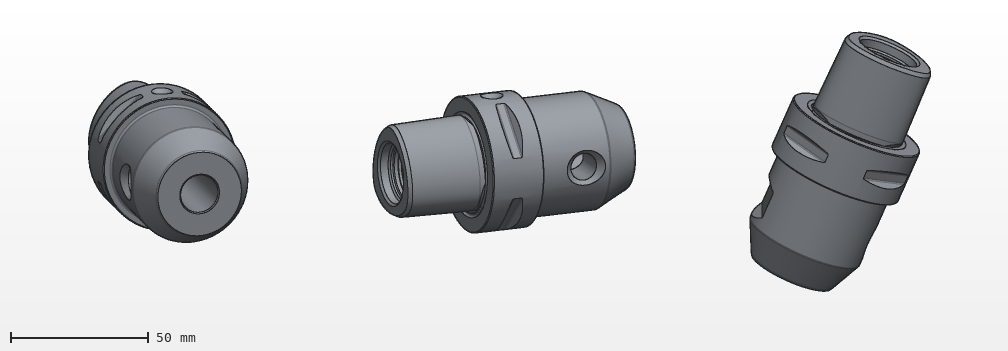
import cadquery as cq
import math

total_length = 90
shank_chamfer_length = 1.5
taper_end = 27.9
flange_start = 30.0
flange_end = 50.0
cone_start = 77.6

shank_tip_radius = 16.9
shank_root_radius = 17.55
lobe_height = 1.1
shank_chamfer_depth = 0.8
profile_points = 72

relief_start = 28.35
relief_outer_radius = 19.4
relief_inner_radius = 17.7
relief_depth = 0.8
relief_bulge = 0.3

flange_radius = 50.0 / 2
flange_chamfer = 0.4
body_radius = 43.5 / 2
body_fillet = 0.8
nose_radius = 16.2
nose_chamfer_length = 0.7
nose_chamfer_depth = 0.45
cone_blend_radius = 1.1

mouth_radius = 24.0 / 2
counterbore_radius = 11.2
counterbore_depth = 3.9
pilot_radius = 21.0 / 2
pilot_depth = 5.4
thread_radius = 10.1
thread_depth = 23.4
groove_start = 7.3
groove_end = 9.2
through_radius = 14.0 / 2
through_chamfer = 1.0
nose_bore_chamfer = 0.45

flange_middle = (flange_start + flange_end) / 2
slot_floor_distance = 22.2
slot_floor_width = 3.5
slot_wall_angle = 30
slot_floor_fillet = 0.5
dimple_radius = 4.1

screw_x = 68.0
screw_radius = 10.1 / 2
screw_countersink_radius = 7.6
notch_floor_y = 18.8
notch_floor_width = 10.1


def lobed_wire(x, mean_radius):
    """Closed constant-width outline with three lobes, one of them pointing to +Z."""
    points = []
    for i in range(profile_points):
        angle = 2 * math.pi * i / profile_points
        reach = mean_radius + lobe_height * math.cos(3 * angle)
        slope = -3 * lobe_height * math.sin(3 * angle)
        z = reach * math.cos(angle) - slope * math.sin(angle)
        y = reach * math.sin(angle) + slope * math.cos(angle)
        points.append(cq.Vector(x, y, z))
    return cq.Wire.assembleEdges([cq.Edge.makeSpline(points, periodic=True)])


def revolve_about_x(profile):
    return profile.close().revolve(360, (0, 0, 0), (1, 0, 0))


def make_shank():
    tip = lobed_wire(0, shank_tip_radius - shank_chamfer_depth)
    chamfer_edge = lobed_wire(shank_chamfer_length, shank_tip_radius)
    root = lobed_wire(taper_end, shank_root_radius)
    flange_side = lobed_wire(flange_start + 2 * relief_depth, shank_root_radius)
    sections = [(tip, chamfer_edge), (chamfer_edge, root), (root, flange_side)]
    shank = cq.Workplane(cq.Solid.makeLoft(list(sections[0]), True))
    for section in sections[1:]:
        shank = shank.union(cq.Workplane(cq.Solid.makeLoft(list(section), True)))
    return shank


def make_flange_and_body():
    rim = flange_radius - flange_chamfer
    fillet_center = (flange_end + body_fillet, body_radius + body_fillet)
    diagonal = body_fillet * math.sqrt(0.5)
    profile = (
        cq.Workplane("XY")
        .moveTo(flange_start, 0)
        .lineTo(flange_start, rim)
        .lineTo(flange_start + flange_chamfer, flange_radius)
        .lineTo(flange_end - flange_chamfer, flange_radius)
        .lineTo(flange_end, rim)
        .lineTo(flange_end, fillet_center[1])
        .threePointArc(
            (fillet_center[0] - diagonal, fillet_center[1] - diagonal),
            (fillet_center[0], body_radius),
        )
        .lineTo(cone_start, body_radius)
        .lineTo(total_length - nose_chamfer_length, nose_radius)
        .lineTo(total_length, nose_radius - nose_chamfer_depth)
        .lineTo(total_length, 0)
    )
    cone_center = (cone_start, 0, 0)
    return revolve_about_x(profile).edges(cq.NearestToPointSelector(cone_center)).fillet(cone_blend_radius)


def make_relief():
    """Rounded ring cutting the lobe roots and sinking into the flange face."""
    middle_radius = (relief_inner_radius + relief_outer_radius) / 2
    profile = (
        cq.Workplane("XY")
        .moveTo(relief_start, relief_outer_radius)
        .lineTo(relief_start, middle_radius)
        .threePointArc(
            ((relief_start + flange_start) / 2, middle_radius - relief_depth + relief_bulge),
            (flange_start, relief_inner_radius),
        )
        .threePointArc(
            (flange_start + relief_depth, middle_radius),
            (flange_start, relief_outer_radius),
        )
    )
    return revolve_about_x(profile)


def make_bore():
    """Stepped bore: counterbore, pilot, grooved thread core and a through hole."""
    mouth_chamfer = mouth_radius - counterbore_radius
    counterbore_end = counterbore_depth + counterbore_radius - pilot_radius
    groove_flank = pilot_radius - thread_radius
    through_mouth = through_radius + through_chamfer
    profile = (
        cq.Workplane("XY")
        .lineTo(0, mouth_radius)
        .lineTo(mouth_chamfer, counterbore_radius)
        .lineTo(counterbore_depth, counterbore_radius)
        .lineTo(counterbore_end, pilot_radius)
        .lineTo(pilot_depth, pilot_radius)
        .lineTo(pilot_depth + groove_flank, thread_radius)
        .lineTo(groove_start, thread_radius)
        .lineTo(groove_start + groove_flank, pilot_radius)
        .lineTo(groove_end - groove_flank, pilot_radius)
        .lineTo(groove_end, thread_radius)
        .lineTo(thread_depth, thread_radius)
        .lineTo(thread_depth, through_mouth)
        .lineTo(thread_depth + through_chamfer, through_radius)
        .lineTo(total_length - nose_bore_chamfer, through_radius)
        .lineTo(total_length, through_radius + nose_bore_chamfer)
        .lineTo(total_length, 0)
    )
    return revolve_about_x(profile)


def make_gripper_slot():
    """Flat-bottomed slot with flared walls, lying across the +Z side of the flange."""
    slot_height = flange_radius - slot_floor_distance
    floor_half = slot_floor_width / 2
    mouth_half = floor_half + slot_height * math.tan(math.radians(slot_wall_angle))
    mouth_z = slot_floor_distance + slot_height
    return (
        cq.Workplane("XZ")
        .moveTo(flange_middle - floor_half, slot_floor_distance)
        .lineTo(flange_middle + floor_half, slot_floor_distance)
        .lineTo(flange_middle + mouth_half, mouth_z)
        .lineTo(flange_middle - mouth_half, mouth_z)
        .close()
        .extrude(flange_radius, both=True)
        .edges("<Z and |Y")
        .fillet(slot_floor_fillet)
    )


def make_dimple():
    return cq.Workplane(
        cq.Solid.makeCone(
            0,
            dimple_radius,
            dimple_radius,
            cq.Vector(flange_middle, 0, flange_radius - dimple_radius),
            cq.Vector(0, 0, 1),
        )
    )


def make_screw_hole():
    """Radial hole from the -Y side into the bore, with a 90 degree countersink."""
    outward = cq.Vector(0, -1, 0)
    hole = cq.Solid.makeCylinder(screw_radius, body_radius, cq.Vector(screw_x, 0, 0), outward)
    apex_y = screw_countersink_radius - body_radius
    countersink = cq.Solid.makeCone(
        0,
        screw_countersink_radius,
        screw_countersink_radius,
        cq.Vector(screw_x, apex_y, 0),
        outward,
    )
    return cq.Workplane(hole).union(cq.Workplane(countersink))


def make_balancing_notch():
    """Groove with 45 degree walls milled across the +Y side of the body."""
    depth = body_radius - notch_floor_y
    floor_half = notch_floor_width / 2
    mouth_half = floor_half + depth
    return (
        cq.Workplane("XY")
        .moveTo(screw_x - floor_half, notch_floor_y)
        .lineTo(screw_x + floor_half, notch_floor_y)
        .lineTo(screw_x + mouth_half, body_radius)
        .lineTo(screw_x - mouth_half, body_radius)
        .close()
        .extrude(body_radius, both=True)
    )


result = make_flange_and_body().union(make_shank())
result = result.cut(make_relief()).cut(make_bore())
for slot_angle in (45, 135, 225, 315):
    result = result.cut(make_gripper_slot().rotate((0, 0, 0), (1, 0, 0), slot_angle))
result = result.cut(make_dimple()).cut(make_screw_hole()).cut(make_balancing_notch())